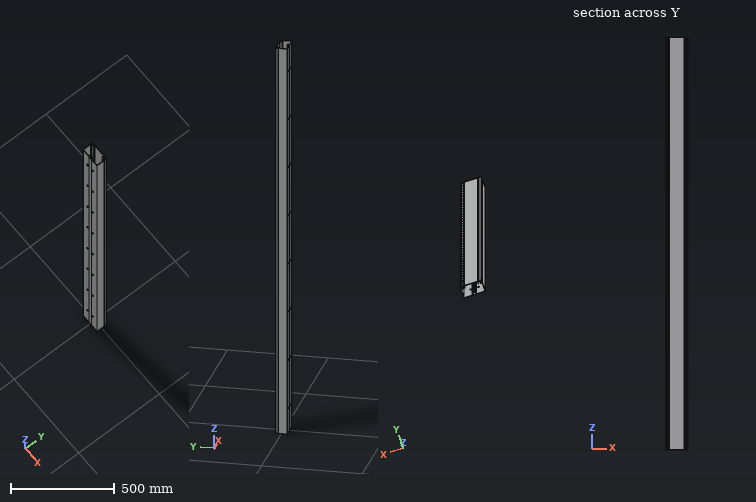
import cadquery as cq

LENGTH = 2000.0
WIDTH = 110.0
DEPTH = 60.0
WALL = 2.0

SKIRT = 13.0
CLIP_OFFSET = 19.0
CLIP_THICKNESS = WALL
CLIP_REACH = 11.0

TONGUE_OFFSET = 8.0
TONGUE_THICKNESS = WALL
TONGUE_LIP = 5.0
LIP_THICKNESS = 2.0

RAIL_WIDTH = 20.0
RAIL_HEIGHT = 12.0
RAIL_LIP = 5.0

HOLE_DIAMETER = 8.0
HOLE_SPACING_X = 40.0
HOLE_ROWS = 8
HOLE_PITCH = LENGTH / HOLE_ROWS

LEFT = -WIDTH / 2
BACK = -DEPTH / 2
FRONT = DEPTH / 2
LID_UNDERSIDE = FRONT - WALL
SEAM = FRONT - SKIRT


def bar(x_min, x_max, y_min, y_max):
    """Full-length rectangular bar, centred on the origin along its length."""
    return (
        cq.Workplane("XY", origin=(0, 0, -LENGTH / 2))
        .rect(x_max - x_min, y_max - y_min)
        .extrude(LENGTH)
        .translate(((x_min + x_max) / 2, (y_min + y_max) / 2, 0))
    )


def mirrored_bars(x_min, x_max, y_min, y_max):
    """A bar and its mirror image on the other side of the centre plane."""
    one_side = bar(x_min, x_max, y_min, y_max)
    return one_side.union(one_side.mirror("YZ"))


def fixing_holes():
    """Two columns of holes through the back wall."""
    return (
        cq.Workplane("XZ", origin=(0, BACK + WALL, 0))
        .rarray(HOLE_SPACING_X, HOLE_PITCH, 2, HOLE_ROWS)
        .circle(HOLE_DIAMETER / 2)
        .extrude(WALL)
    )


def make_base():
    """Channel whose side walls step inward to pass behind the lid skirts."""
    back = bar(LEFT, -LEFT, BACK, BACK + WALL)
    sides = mirrored_bars(LEFT, LEFT + WALL, BACK, SEAM)
    shoulders = mirrored_bars(LEFT, LEFT + TONGUE_OFFSET + TONGUE_THICKNESS, SEAM - WALL, SEAM)
    tongues = mirrored_bars(
        LEFT + TONGUE_OFFSET, LEFT + TONGUE_OFFSET + TONGUE_THICKNESS, SEAM - WALL, LID_UNDERSIDE
    )
    tongue_lips = mirrored_bars(
        LEFT + TONGUE_OFFSET,
        LEFT + TONGUE_OFFSET + TONGUE_THICKNESS + TONGUE_LIP,
        LID_UNDERSIDE - LIP_THICKNESS,
        LID_UNDERSIDE,
    )
    rail_edge = -RAIL_WIDTH / 2
    rail_top = BACK + RAIL_HEIGHT
    rail_legs = mirrored_bars(rail_edge, rail_edge + WALL, BACK, rail_top)
    rail_lips = mirrored_bars(rail_edge, rail_edge + WALL + RAIL_LIP, rail_top - WALL, rail_top)
    shell = back
    for wall in (sides, shoulders, tongues, tongue_lips, rail_legs, rail_lips):
        shell = shell.union(wall)
    return shell.cut(fixing_holes())


def make_lid():
    """Cover plate with outer skirts and inner clip legs."""
    plate = bar(LEFT, -LEFT, LID_UNDERSIDE, FRONT)
    skirts = mirrored_bars(LEFT, LEFT + WALL, SEAM, FRONT)
    clip_start = LEFT + CLIP_OFFSET
    clips = mirrored_bars(
        clip_start, clip_start + CLIP_THICKNESS, LID_UNDERSIDE - CLIP_REACH, FRONT
    )
    return plate.union(skirts).union(clips)


base = make_base()
lid = make_lid()
result = cq.Compound.makeCompound([base.val(), lid.val()])